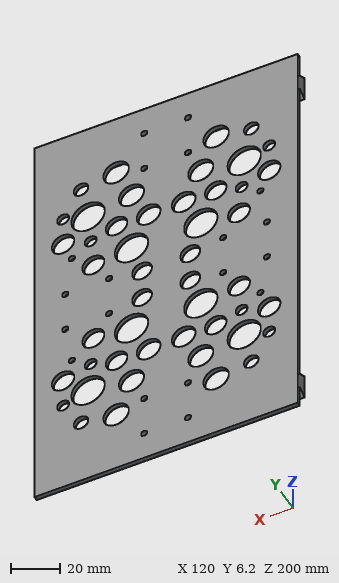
import cadquery as cq

plate_width = 120.0
plate_height = 200.0
plate_thickness = 2.0

rail_depth = 4.2
rail_face_width = 12.2
rail_root_width = 7.5
rail_edge_inset = 8.5
rail_center_z = plate_height / 2 - rail_edge_inset - rail_face_width / 2

total_depth = plate_thickness + rail_depth
rail_face_y = -total_depth / 2
plate_front_y = rail_face_y + rail_depth
plate_back_y = total_depth / 2

hole_groups = [
    (2.8, [(10.0, 86.0), (10.0, 66.0), (26.0, 10.0), (46.0, 10.0), (43.0, 29.2)]),
    (5.5, [(34.5, 35.2), (47.0, 53.5)]),
    (6.5, [(38.8, 66.8)]),
    (9.0, [(11.0, 7.5)]),
    (9.8, [(22.5, 38.5)]),
    (10.0, [(33.2, 21.0)]),
    (10.2, [(47.0, 39.2)]),
    (10.8, [(8.0, 38.5)]),
    (11.5, [(15.8, 53.2)]),
    (11.5, [(22.8, 69.5)]),
    (15.2, [(15.8, 23.0), (35.5, 49.8)]),
]


def make_plate():
    """Flat rectangular plate behind the rails."""
    middle_y = (plate_front_y + plate_back_y) / 2
    plate = cq.Workplane("XY").box(plate_width, plate_thickness, plate_height)
    return plate.translate((0, middle_y, 0))


def make_rail(center_z):
    """Full-width dovetail rail, narrow at the plate and wide at its outer face."""
    profile = [
        (plate_front_y, center_z - rail_root_width / 2),
        (rail_face_y, center_z - rail_face_width / 2),
        (rail_face_y, center_z + rail_face_width / 2),
        (plate_front_y, center_z + rail_root_width / 2),
    ]
    return cq.Workplane("YZ").polyline(profile).close().extrude(plate_width / 2, both=True)


def mirrored_centers(quarter_centers):
    """Repeat quarter-plate centers across both plate midlines."""
    return [
        (side_x * x, side_z * z)
        for x, z in quarter_centers
        for side_x in (-1, 1)
        for side_z in (-1, 1)
    ]


def make_hole_cutters(diameter, quarter_centers):
    """Cylinders along Y that pass through the plate and the rails."""
    sketch = cq.Workplane("XZ").pushPoints(mirrored_centers(quarter_centers))
    return sketch.circle(diameter / 2).extrude(total_depth, both=True)


result = make_plate()
for rail_side in (-1, 1):
    result = result.union(make_rail(rail_side * rail_center_z))
for hole_diameter, hole_centers in hole_groups:
    result = result.cut(make_hole_cutters(hole_diameter, hole_centers))